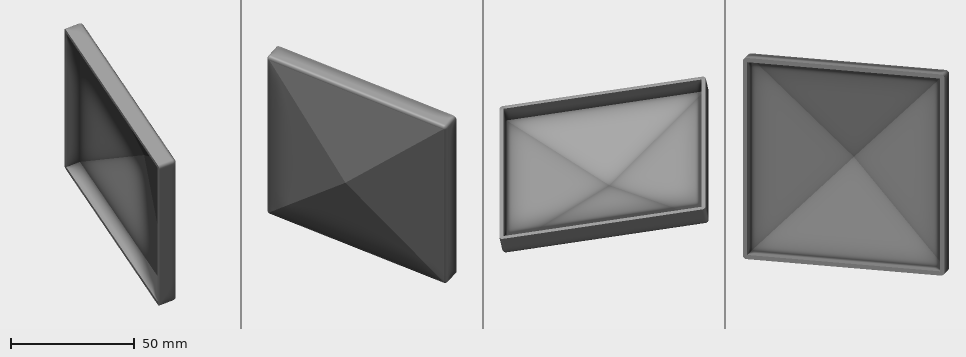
import cadquery as cq

side = 85.0
total_height = 16.5
skirt_height = 8.0
wall = 1.8
edge_radius = 1.5
cavity_skirt_depth = skirt_height - wall
roof_rise = total_height - skirt_height
roof_base = side - 2 * edge_radius
cavity_side = side - 2 * wall
cavity_rise = roof_rise * cavity_side / roof_base


def square_block(width, height):
    """Square block centred on the Y axis, standing on the plane Y = 0."""
    return cq.Workplane("XY").box(width, height, width, centered=(True, False, True))


def pyramid(base, base_y, rise):
    """Square pyramid whose apex lies on the Y axis, above a base at Y = base_y."""
    half = base / 2
    base_corners = [
        cq.Vector(x * half, base_y, z * half)
        for x, z in ((-1, -1), (1, -1), (1, 1), (-1, 1))
    ]
    apex = cq.Vector(0, base_y + rise, 0)
    faces = [cq.Face.makeFromWires(cq.Wire.makePolygon(base_corners, close=True))]
    for i in range(4):
        triangle = [base_corners[i - 1], base_corners[i], apex]
        faces.append(cq.Face.makeFromWires(cq.Wire.makePolygon(triangle, close=True)))
    return cq.Workplane(cq.Solid.makeSolid(cq.Shell.makeShell(faces)))


skirt = square_block(side, skirt_height).edges("|Y").fillet(edge_radius)
skirt = skirt.faces(">Y").edges().fillet(edge_radius)

outside = skirt.union(pyramid(roof_base, skirt_height, roof_rise))

cavity = square_block(cavity_side, cavity_skirt_depth)
cavity = cavity.union(pyramid(cavity_side, cavity_skirt_depth, cavity_rise))

result = outside.cut(cavity)